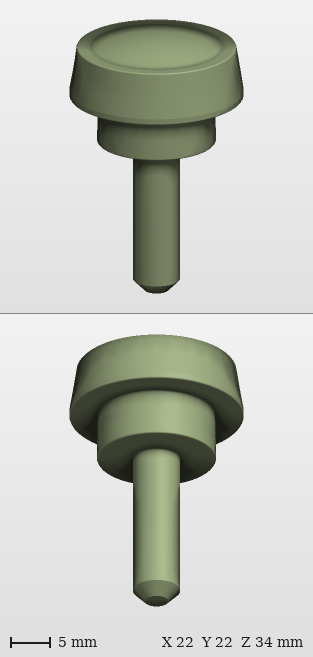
import cadquery as cq

total_height = 34.0
collar_bottom = 20.0
head_bottom = 26.0
head_top = 32.6

stud_radius = 6.0 / 2
tip_chamfer = 1.5

collar_bottom_radius = 15.03 / 2
collar_top_radius = 14.82 / 2

head_radius = 22.0 / 2
head_top_radius = 20.13 / 2
rim_height = 0.8

cap_radius = 16.52 / 2

edge_fillet = 0.2


def make_body():
    """Revolve the stud, collar and head, then round the edges at each step."""
    outline = [
        (0, 0),
        (stud_radius - tip_chamfer, 0),
        (stud_radius, tip_chamfer),
        (stud_radius, collar_bottom),
        (collar_bottom_radius, collar_bottom),
        (collar_top_radius, head_bottom),
        (head_radius, head_bottom),
        (head_radius, head_bottom + rim_height),
        (head_top_radius, head_top),
        (0, head_top),
    ]
    body = cq.Workplane("XZ").polyline(outline).close().revolve(360, (0, 0), (0, 1))
    step_faces = body.faces("|Z").faces("not <Z")
    return step_faces.edges("%CIRCLE").fillet(edge_fillet)


def make_cap():
    """Revolve a circular arc that peaks on the axis into a shallow dome."""
    cap_height = total_height - head_top
    sphere_radius = (cap_radius**2 + cap_height**2) / (2 * cap_height)
    mid_radius = cap_radius / 2
    mid_rise = (sphere_radius**2 - mid_radius**2) ** 0.5
    mid_height = total_height - sphere_radius + mid_rise
    profile = (
        cq.Workplane("XZ")
        .moveTo(0, head_top)
        .lineTo(cap_radius, head_top)
        .threePointArc((mid_radius, mid_height), (0, total_height))
        .close()
    )
    return profile.revolve(360, (0, 0), (0, 1))


result = make_body().union(make_cap())